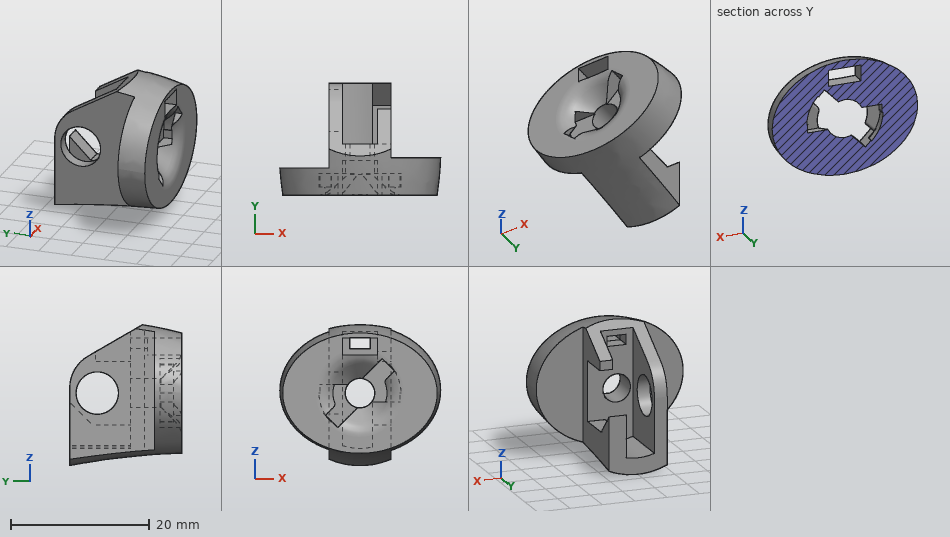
import cadquery as cq
import math

depth = 16.22

front_section = (0, 11.15, 8.7, 0)
plate_section = (5.44, 11.67, 9.44, 0.42)
back_section = (depth, 10.8, 10.5, 0)

left_flange_thickness = 3.95
right_flange_thickness = 5.44
yoke_half_width = 4.49
pivot_y = 12.22
pivot_radius = 3.05

slope_angle = 30
slope_start_y = 5.72
slope_start_z = 9.88
yoke_corner_radius = 5.35

slot_half_width = 2.5
slot_front_y = 7.44
slot_floor_radius = 8.0

shelf_x = 1.81
opening_half_height = 4.58
hook_end_y = 12.45
ramp_start_y = 12.95
ramp_angle = 45

pocket_bottom_z = 5.53
pocket_top_z = 7.97
pocket_depth = 5.0
window_half_width = 1.46
window_bottom_z = 6.44

bore_radius = 2.11
dish_depth = 3.0
dish_lip_radius = 3.0
dish_angle = 45

socket_depth = 3.15
key_half_width = 1.25
key_half_length = 5.79
key_entry_angle = 45
key_roof_depth = 1.2
key_lead_in_radius = 0.4

margin = 2.32
span = 46.48


def box(x_range, y_range, z_range):
    """Axis-aligned box between the given limits."""
    size = [high - low for low, high in (x_range, y_range, z_range)]
    corner = (x_range[0], y_range[0], z_range[0])
    return cq.Workplane("XY").box(*size, centered=False).translate(corner)


def frontal(y):
    """Sketch plane facing the front, with X right, Z up and its normal along -Y."""
    return cq.Workplane("XZ", origin=(0, y, 0))


def outer_body():
    """Smooth loft through the sections, each split into an upper and a lower half."""
    wires = []
    for y, half_width, half_height, centre_z in (front_section, plate_section, back_section):
        centre = cq.Vector(0, y, centre_z)
        halves = [
            cq.Edge.makeEllipse(
                half_width, half_height, centre, cq.Vector(0, -1, 0), cq.Vector(1, 0, 0), start, start + 180
            )
            for start in (0, 180)
        ]
        wires.append(cq.Wire.assembleEdges(halves))
    return cq.Workplane(obj=cq.Solid.makeLoft(wires))


def slope_clearance():
    """Space above the sloped top of the yoke, rounded down into its back face."""
    slope = math.tan(math.radians(slope_angle))
    corner_z = slope_start_z - (depth - slope_start_y) * slope
    tangent_length = yoke_corner_radius * math.tan(math.radians(90 - slope_angle) / 2)
    tangent_y = depth - tangent_length * math.cos(math.radians(slope_angle))
    tangent_z = corner_z + tangent_length * math.sin(math.radians(slope_angle))
    return (
        cq.Workplane("YZ", origin=(-span / 2, 0, 0))
        .moveTo(-margin, slope_start_z + (slope_start_y + margin) * slope)
        .lineTo(tangent_y, tangent_z)
        .tangentArcPoint((depth, corner_z - tangent_length), relative=False)
        .lineTo(depth + margin, corner_z - tangent_length)
        .lineTo(depth + margin, span / 2)
        .lineTo(-margin, span / 2)
        .close()
        .extrude(span)
    )


def flange_clearance():
    """Material behind the flange on both sides of the yoke."""
    height = (-span / 2, span / 2)
    left = box((-span / 2, -yoke_half_width), (left_flange_thickness, span), height)
    right = box((yoke_half_width, span / 2), (right_flange_thickness, span), height)
    return left.union(right)


def yoke_slot():
    """Slot open to the top and back, with a hollow floor curved about Y."""
    slot = box((-slot_half_width, shelf_x), (slot_front_y, depth + margin), (-span / 2, span / 2))
    tube = frontal(depth + margin).circle(slot_floor_radius).extrude(depth + margin - slot_front_y)
    above = box((-slot_half_width, slot_half_width), (slot_front_y, depth + margin), (0, span / 2))
    return slot.intersect(tube).union(above)


def side_opening():
    """Opening under the hooked right arm, with a ramp at the back."""
    ramp_end_y = depth + margin
    ramp_rise = (ramp_end_y - ramp_start_y) * math.tan(math.radians(ramp_angle))
    outline = [
        (slot_front_y, -opening_half_height),
        (ramp_start_y, -opening_half_height),
        (ramp_end_y, ramp_rise - opening_half_height),
        (ramp_end_y, span / 2),
        (hook_end_y, span / 2),
        (hook_end_y, opening_half_height),
        (slot_front_y, opening_half_height),
    ]
    width = yoke_half_width + margin - shelf_x
    return cq.Workplane("YZ", origin=(shelf_x, 0, 0)).polyline(outline).close().extrude(width)


def pivot_hole():
    """Hole along X through the yoke arms."""
    return cq.Workplane("YZ", origin=(-span / 2, 0, 0)).center(pivot_y, 0).circle(pivot_radius).extrude(span)


def window():
    """Pocket in the front face with a smaller window through to the yoke slot."""
    height = (pocket_bottom_z, pocket_top_z)
    pocket = box((-slot_half_width, slot_half_width), (-margin, pocket_depth), height)
    through = box(
        (-window_half_width, window_half_width), (0, slot_front_y + margin), (window_bottom_z, pocket_top_z)
    )
    return pocket.union(through)


def dish():
    """Conical countersink whose lip is rounded into the front face."""
    full_turn = math.radians(dish_angle)
    half_turn = full_turn / 2
    edge_radius = bore_radius + dish_depth / math.tan(full_turn)
    rim_radius = edge_radius + dish_lip_radius * math.tan(half_turn)

    def lip_point(turn):
        """Point on the lip after turning away from the front face."""
        return (
            rim_radius - dish_lip_radius * math.sin(turn),
            dish_lip_radius * (1 - math.cos(turn)),
        )

    return (
        cq.Workplane("XY")
        .lineTo(rim_radius, 0)
        .threePointArc(lip_point(half_turn), lip_point(full_turn))
        .lineTo(bore_radius, dish_depth)
        .lineTo(0, dish_depth)
        .close()
        .revolve(360, (0, 0, 0), (0, 1, 0))
    )


def key_prism(height):
    """Straight two-winged key along X, rising from the socket floor toward the front."""
    return frontal(socket_depth).rect(2 * key_half_length, 2 * key_half_width).extrude(height)


def key_lead_in():
    """Rounding of the edge that a key wing passes as it turns under the dish."""
    arc_y = key_roof_depth - key_lead_in_radius
    arc_z = -key_half_width - key_lead_in_radius
    diagonal = key_lead_in_radius * math.sqrt(0.5)
    return (
        cq.Workplane("YZ")
        .moveTo(key_roof_depth, -key_half_width)
        .lineTo(arc_y, -key_half_width)
        .threePointArc((arc_y + diagonal, arc_z + diagonal), (key_roof_depth, arc_z))
        .close()
        .extrude(key_half_length)
    )


def turning_sector():
    """Space under the dish swept by one key wing between horizontal and the entry angle."""
    radius = math.hypot(key_half_length, key_half_width)
    end_angle = math.radians(key_entry_angle)
    middle = (radius * math.cos(end_angle / 2), radius * math.sin(end_angle / 2))
    end = (radius * math.cos(end_angle), radius * math.sin(end_angle))
    sector = frontal(socket_depth).lineTo(radius, 0).threePointArc(middle, end).close()
    return sector.extrude(socket_depth - key_roof_depth)


def turned_about_bore(shape, angle):
    """Turn a shape about the Y axis, from +X toward +Z."""
    return shape.rotate((0, 0, 0), (0, 1, 0), -angle)


def bayonet_socket():
    """Two-winged key slot, undercut so that the key turns to horizontal."""
    socket = turned_about_bore(key_prism(socket_depth), key_entry_angle)
    socket = socket.union(key_prism(socket_depth - key_roof_depth))
    for wing_angle in (0, 180):
        socket = socket.union(turned_about_bore(turning_sector(), wing_angle))
        socket = socket.union(turned_about_bore(key_lead_in(), wing_angle + key_entry_angle))
    return socket


def bore():
    """Round hole along Y through the whole part."""
    return frontal(depth).circle(bore_radius).extrude(depth)


result = (
    outer_body()
    .cut(slope_clearance())
    .cut(flange_clearance())
    .cut(yoke_slot())
    .cut(side_opening())
    .cut(pivot_hole())
    .cut(bore())
    .cut(dish())
    .cut(window())
    .cut(bayonet_socket())
)